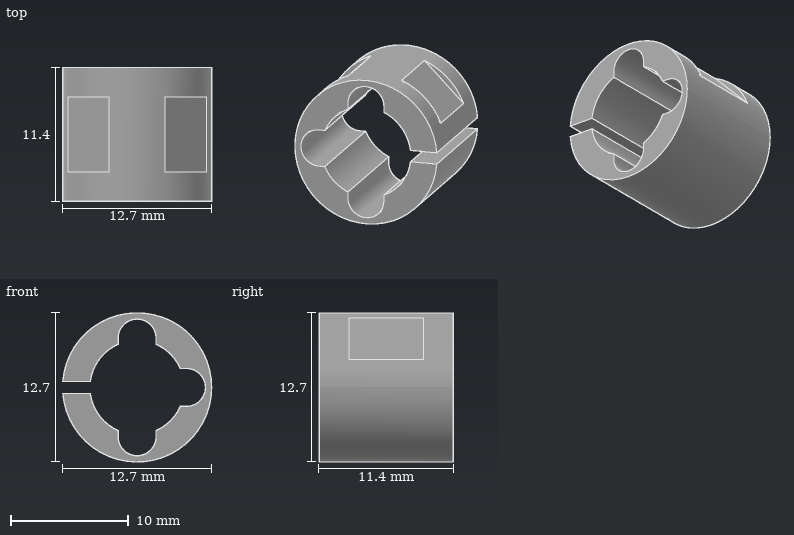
import cadquery as cq

length = 11.4
outer_diameter = 12.7
bore_diameter = 8.0

groove_width = 3.2
groove_reach = 5.8
groove_angles = (-90, 0, 90)

slit_width = 1.0

flat_length = 6.35
flat_distance = 5.85
flat_angles = (-45, 45)

outer_radius = outer_diameter / 2


def rod(diameter):
    """Cylinder along Y with the sleeve's length."""
    return cq.Workplane("XZ", origin=(0, length / 2, 0)).circle(diameter / 2).extrude(length)


def bore_groove(angle):
    """Round-ended groove cutter, turned about Y from the +X direction."""
    groove_radius = groove_width / 2
    centre_distance = groove_reach - groove_radius
    channel = cq.Workplane("XY").box(
        centre_distance, length, groove_width, centered=(False, True, True)
    )
    round_end = rod(groove_width).translate((centre_distance, 0, 0))
    return channel.union(round_end).rotate((0, 0, 0), (0, 1, 0), angle)


def slit():
    """Cutter that opens the wall from the axis out to -X."""
    cutter = cq.Workplane("XY").box(
        outer_radius, length, slit_width, centered=(False, True, True)
    )
    return cutter.translate((-outer_radius, 0, 0))


def flat_cutter(angle):
    """Block whose underside is the flat, turned about Y from +Z."""
    block = cq.Workplane("XY").box(
        outer_diameter, flat_length, outer_radius, centered=(True, True, False)
    )
    return block.translate((0, 0, flat_distance)).rotate((0, 0, 0), (0, 1, 0), angle)


sleeve = rod(outer_diameter).cut(rod(bore_diameter))

for groove_angle in groove_angles:
    sleeve = sleeve.cut(bore_groove(groove_angle))

sleeve = sleeve.cut(slit())

for flat_angle in flat_angles:
    sleeve = sleeve.cut(flat_cutter(flat_angle))

result = sleeve